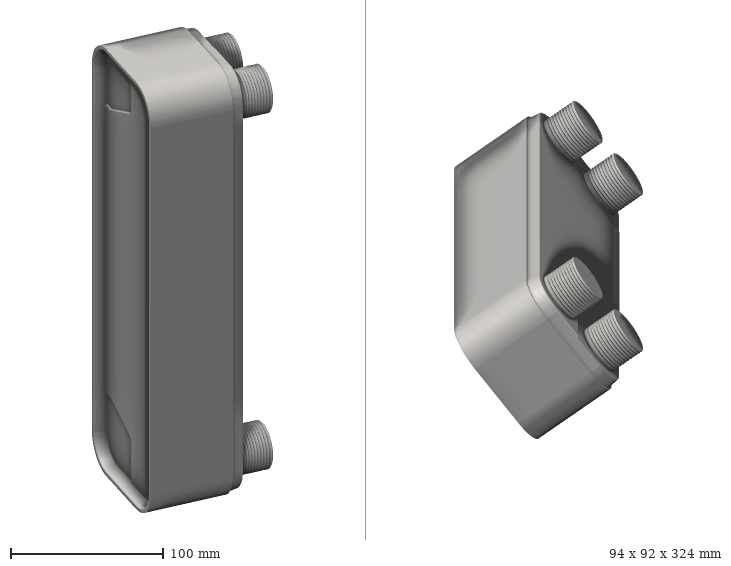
import cadquery as cq
import math

LENGTH = 324.0
WIDTH = 94.0
CORNER_RADIUS = 23.0
BACK_Y = 68.0
EDGE_RADIUS = 1.0

COVER_Y = 59.3
COVER_BASE_INSET = 1.3
COVER_BACK_INSET = 2.5

RIM_WIDTH = 3.0
TRAY_DEPTH = 7.5
TRAY_WALL_SLOPE = 0.3

STEP_DEPTH = 1.0
STEP_WALL_ANGLE = 45.0
FRONT_STEP_X = -1.5
BACK_STEP_X = 1.5
STEP_CORNER_DROP = 38.2
STEP_SLANT_ANGLE = 23.5
STEP_SLANT_END_X = -33.7
STEP_BEND_RADIUS = 5.0

PORT_SPACING_X = 45.7
PORT_SPACING_Z = 270.2
PORT_DIAMETER = 33.5
PORT_LENGTH = 24.0
NECK_LENGTH = 2.0
TIP_CHAMFER = 0.5
THREAD_COUNT = 10
THREAD_DEPTH = 1.3
CREST_SHARE = 0.25


def rounded_outline(y, inset):
    """Outline of the block as a wire at depth y, moved inwards by inset."""
    plate = (
        cq.Workplane("XZ", origin=(0, y, 0))
        .rect(WIDTH - 2 * inset, LENGTH - 2 * inset)
        .extrude(3.2)
        .edges("|Y")
        .fillet(CORNER_RADIUS - inset)
    )
    return plate.faces(">Y").wires().val()


def tapered_plate(y_start, inset_start, y_end, inset_end):
    """Rounded plate between two depths whose inset changes evenly from one to the other."""
    outlines = [rounded_outline(y_start, inset_start), rounded_outline(y_end, inset_end)]
    return cq.Workplane(cq.Solid.makeLoft(outlines, True))


def tray(depth):
    """Space inside the rim, with a rounded edge around the floor."""
    plate = tapered_plate(0, RIM_WIDTH, depth, RIM_WIDTH + TRAY_WALL_SLOPE * depth)
    return plate.faces(">Y").edges().fillet(EDGE_RADIUS)


def corner_step(start_y, height, step_x, taper):
    """Prism over the upper -X corner, rising towards -Y with slanted sides."""
    rise_z = LENGTH / 2 - STEP_CORNER_DROP
    slant_end_z = rise_z - (step_x - STEP_SLANT_END_X) * math.tan(math.radians(STEP_SLANT_ANGLE))
    outline = cq.Sketch().polygon(
        [
            (step_x, LENGTH),
            (step_x, rise_z),
            (STEP_SLANT_END_X, slant_end_z),
            (-WIDTH, slant_end_z),
            (-WIDTH, LENGTH),
            (step_x, LENGTH),
        ]
    )
    outline = outline.vertices().fillet(STEP_BEND_RADIUS)
    return cq.Workplane("XZ", origin=(0, start_y, 0)).placeSketch(outline).extrude(height, taper=taper)


def make_block():
    """Block with its back cover, front tray and the stepped corners at both ends."""
    block = tapered_plate(0, 0, COVER_Y, 0)
    cover = tapered_plate(COVER_Y, COVER_BASE_INSET, BACK_Y, COVER_BACK_INSET)
    cover = cover.faces(">Y").edges().fillet(EDGE_RADIUS)
    block = block.union(cover).cut(tray(TRAY_DEPTH))

    step_floor_y = TRAY_DEPTH + STEP_DEPTH
    front_step = corner_step(step_floor_y, STEP_DEPTH + EDGE_RADIUS, FRONT_STEP_X, -STEP_WALL_ANGLE)
    front_step = front_step.intersect(tray(step_floor_y))
    back_step = corner_step(BACK_Y, STEP_DEPTH, BACK_STEP_X, STEP_WALL_ANGLE)
    for step in (front_step, back_step):
        block = block.cut(step).cut(step.mirror("XY"))

    rim_inner_edge = block.faces("<Y").val().innerWires()[0].Edges()
    return block.newObject(rim_inner_edge).fillet(EDGE_RADIUS)


def make_port(x, base_y, z):
    """Externally threaded stub, pointing back along +Y from base_y."""
    crest = PORT_DIAMETER / 2
    root = crest - THREAD_DEPTH
    pitch = (PORT_LENGTH - NECK_LENGTH - TIP_CHAMFER) / THREAD_COUNT
    flank = pitch * (1 - CREST_SHARE) / 2

    profile = cq.Workplane("XY").lineTo(crest, 0)
    for turn in range(THREAD_COUNT):
        groove_y = NECK_LENGTH + turn * pitch
        profile = profile.lineTo(crest, groove_y)
        profile = profile.lineTo(root, groove_y + flank)
        profile = profile.lineTo(crest, groove_y + 2 * flank)
    profile = profile.lineTo(crest, PORT_LENGTH - TIP_CHAMFER)
    profile = profile.lineTo(crest - TIP_CHAMFER, PORT_LENGTH).lineTo(0, PORT_LENGTH).close()
    return profile.revolve(360, (0, 0), (0, 1)).translate((x, base_y, z))


block = make_block()
ports = []
for side, base_y in ((-1, BACK_Y - STEP_DEPTH), (1, BACK_Y)):
    for end in (-1, 1):
        ports.append(make_port(side * PORT_SPACING_X / 2, base_y, end * PORT_SPACING_Z / 2))

result = cq.Compound.makeCompound([block.val(), *[port.val() for port in ports]])